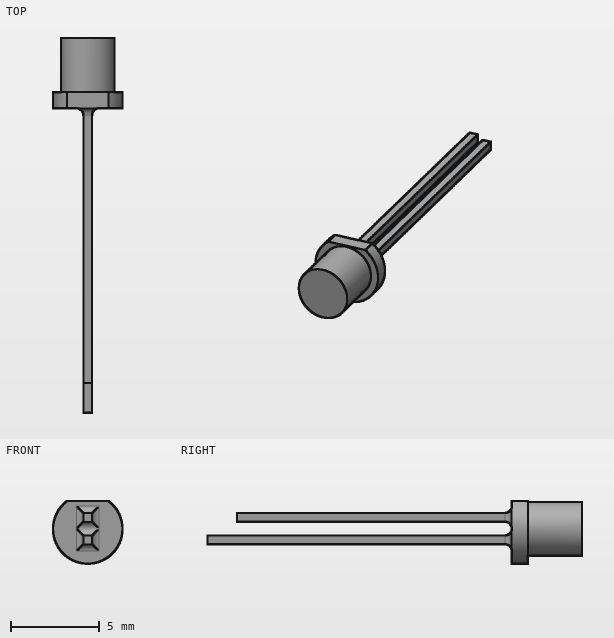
import cadquery as cq
import math

overall_length = 21.08

housing_length = 3.96
flange_thickness = 0.9
flange_radius = 1.95
flange_flat_height = 1.58
body_radius = 1.52

lead_width = 0.5
lead_pitch = 1.26
lead_pair_height = 0.02
lead_step = 1.67
long_lead_length = overall_length - housing_length
short_lead_length = long_lead_length - lead_step

foot_radius = (lead_pitch - lead_width) / 2


def make_flange():
    """Disc on Y = 0 with a flat across its top."""
    flat_half_width = math.sqrt(flange_radius**2 - flange_flat_height**2)
    return (
        cq.Workplane("XZ")
        .moveTo(-flat_half_width, flange_flat_height)
        .threePointArc((0, -flange_radius), (flat_half_width, flange_flat_height))
        .close()
        .extrude(-flange_thickness)
    )


def make_body():
    """Plain cylinder from the flange face to the far end of the housing."""
    return cq.Workplane("XZ").circle(body_radius).extrude(-housing_length)


def lead_profile(plane, length):
    """Lead side outline, flaring through concave arcs at its foot, extruded to the foot width."""
    half_width = lead_width / 2
    foot_half_width = half_width + foot_radius
    arc_mid_offset = foot_radius * (1 - math.sqrt(0.5))
    return (
        cq.Workplane(plane)
        .moveTo(-foot_half_width, 0)
        .threePointArc(
            (-half_width - arc_mid_offset, -arc_mid_offset),
            (-half_width, -foot_radius),
        )
        .lineTo(-half_width, -length)
        .lineTo(half_width, -length)
        .lineTo(half_width, -foot_radius)
        .threePointArc(
            (half_width + arc_mid_offset, -arc_mid_offset),
            (foot_half_width, 0),
        )
        .close()
        .extrude(foot_half_width, both=True)
    )


def make_lead(length, height):
    """Square lead whose four foot flares meet in mitred corners."""
    flared_in_x = lead_profile("XY", length)
    flared_in_z = lead_profile("ZY", length)
    return flared_in_x.intersect(flared_in_z).translate((0, 0, height))


result = make_flange().union(make_body())
for length, height in (
    (short_lead_length, lead_pair_height + lead_pitch / 2),
    (long_lead_length, lead_pair_height - lead_pitch / 2),
):
    result = result.union(make_lead(length, height))